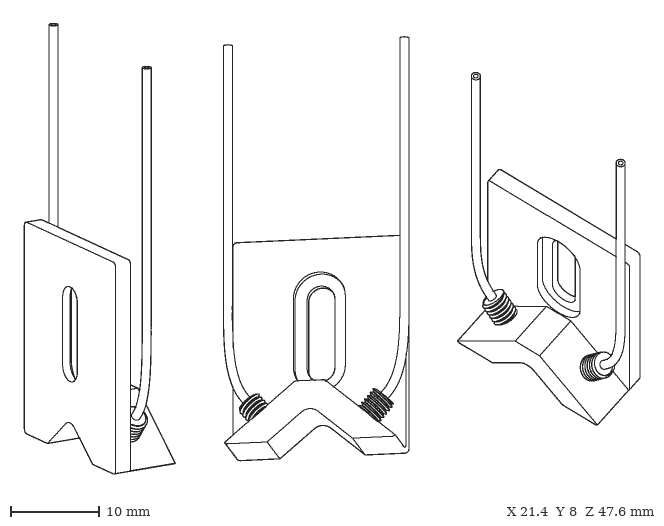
import cadquery as cq
import math


plate_width = 20.0
plate_height = 25.05
plate_thickness = 2.0
corner_radius = 0.5
wedge_depth = 6.0
wedge_height = 7.0
wedge_top_width = 3.43
slope_angle = 40.0
notch_width = 9.85
notch_radius = 1.47
slot_width = 3.2
slot_bottom = 8.55
slot_top = 19.75
recess_width = 6.0
recess_floor_y = 1.0

stud_diameter = 3.0
stud_root_diameter = 2.45
stud_length = 3.0
thread_turns = 6
thread_crest_width = 0.055
thread_root_gap = 0.05
stud_foot_x = 5.9

jacket_diameter = 1.05
conductor_diameter = 0.5
wire_lead_length = 0.55
wire_outer_span = 21.4
wire_straight_bottom = 17.55
wire_top = 47.6

holder_depth = plate_thickness + wedge_depth
stud_y = holder_depth / 2
slope = math.tan(math.radians(slope_angle))
wedge_half_top = wedge_top_width / 2
notch_depth = notch_width / 2 * slope
thread_pitch = stud_length / thread_turns
wire_x = (wire_outer_span - jacket_diameter) / 2

stud_axis = cq.Vector(math.sin(math.radians(slope_angle)), 0, math.cos(math.radians(slope_angle)))
stud_foot_z = wedge_height - (stud_foot_x - wedge_half_top) * slope
stud_foot = cq.Vector(stud_foot_x, stud_y, stud_foot_z)
stud_end = stud_foot + stud_axis * stud_length


def front_sketch_plane(y):
    """Plane facing -Y, with X to the right and Z up."""
    return cq.Workplane("XZ", origin=(0, y, 0))


def make_holder_blank():
    """Full-depth block with the plate's rounded outline."""
    return (
        front_sketch_plane(0)
        .rect(plate_width, plate_height)
        .extrude(-holder_depth)
        .translate((0, 0, plate_height / 2))
        .edges("|Y")
        .fillet(corner_radius)
    )


def make_wedge_clearance():
    """Space above the wedge and behind the plate."""
    side_x = plate_width
    side_z = wedge_height - (side_x - wedge_half_top) * slope
    return (
        front_sketch_plane(plate_thickness)
        .polyline([
            (-side_x, side_z),
            (-wedge_half_top, wedge_height),
            (wedge_half_top, wedge_height),
            (side_x, side_z),
            (side_x, plate_height),
            (-side_x, plate_height),
        ])
        .close()
        .extrude(-wedge_depth)
    )


def make_notch():
    """V notch with a rounded apex, through plate and wedge."""
    return (
        front_sketch_plane(0)
        .polyline([(-notch_width / 2, 0), (0, notch_depth), (notch_width / 2, 0)])
        .close()
        .extrude(-holder_depth)
        .edges("|Y and >Z")
        .fillet(notch_radius)
    )


def make_slot_cut(width, front_y):
    """Upright slot of the given width, from front_y to the plate's back, round the same end centres."""
    center_distance = slot_top - slot_bottom - slot_width
    return (
        front_sketch_plane(front_y)
        .center(0, (slot_bottom + slot_top) / 2)
        .slot2D(center_distance + width, width, 90)
        .extrude(front_y - plate_thickness)
    )


def make_stepped_slot():
    """Slot through the plate, widened at the back for a screw head."""
    return make_slot_cut(slot_width, 0).union(make_slot_cut(recess_width, recess_floor_y))


def make_holder():
    return make_holder_blank().cut(make_wedge_clearance()).cut(make_notch()).cut(make_stepped_slot())


def plane_across_stud(center):
    """Plane square to the stud's axis, with its normal away from the wedge."""
    return cq.Plane(origin=center.toTuple(), xDir=(0, -1, 0), normal=stud_axis.toTuple())


def make_stud():
    """Stud of the +X side, with a helical thread along its whole length."""
    root_radius = stud_root_diameter / 2
    crest_radius = stud_diameter / 2
    inner_radius = root_radius - (crest_radius - root_radius) / 10
    crest_half = thread_crest_width / 2
    base_half = (thread_pitch - thread_root_gap) / 2
    core = cq.Workplane("XY").circle(root_radius).extrude(stud_length)
    helix = cq.Wire.makeHelix(thread_pitch, stud_length + 2 * thread_pitch, root_radius)
    ridge = (
        cq.Workplane("XZ")
        .polyline([
            (inner_radius, -base_half),
            (crest_radius, -crest_half),
            (crest_radius, crest_half),
            (inner_radius, base_half),
        ])
        .close()
        .sweep(cq.Workplane(helix), isFrenet=True)
        .translate((0, 0, -thread_pitch))
    )
    envelope = cq.Workplane("XY").circle(stud_diameter).extrude(stud_length)
    stud = core.union(ridge.intersect(envelope))
    return cq.Workplane(stud.val().moved(cq.Location(plane_across_stud(stud_foot))))


def section_across_stud(center, diameter):
    """Circle centred on the stud's axis and square to it."""
    return cq.Workplane(plane_across_stud(center)).circle(diameter / 2)


def make_wire_rod(diameter):
    """Round rod along the wire's path on the +X side: lead, bend and straight length."""
    bend_start = stud_end + stud_axis * wire_lead_length
    bend_end = cq.Vector(wire_x, stud_y, wire_straight_bottom)
    bend_path = cq.Edge.makeSpline([bend_start, bend_end], tangents=[stud_axis, cq.Vector(0, 0, 1)])
    lead = section_across_stud(stud_end, diameter).extrude(wire_lead_length)
    bend = section_across_stud(bend_start, diameter).sweep(cq.Workplane(bend_path))
    straight = (
        cq.Workplane("XY", origin=bend_end.toTuple())
        .circle(diameter / 2)
        .extrude(wire_top - wire_straight_bottom)
    )
    return lead.union(bend).union(straight)


def make_probe():
    """Probe of the +X side: the stud and its conductor in one piece."""
    return make_stud().union(make_wire_rod(conductor_diameter))


def make_jacket():
    """Jacket of the +X side, around the conductor and flush with its upper end."""
    return make_wire_rod(jacket_diameter).cut(make_wire_rod(conductor_diameter))


def make_mirrored_pair(body):
    """Solids of a +X body and its copy on the -X side."""
    right_side = body.val()
    return [right_side, right_side.mirror("YZ")]


holder = make_holder()
probe = make_probe()
jacket = make_jacket()

bodies = [holder.val()]
for side_body in (probe, jacket):
    bodies += make_mirrored_pair(side_body)

result = cq.Compound.makeCompound(bodies)